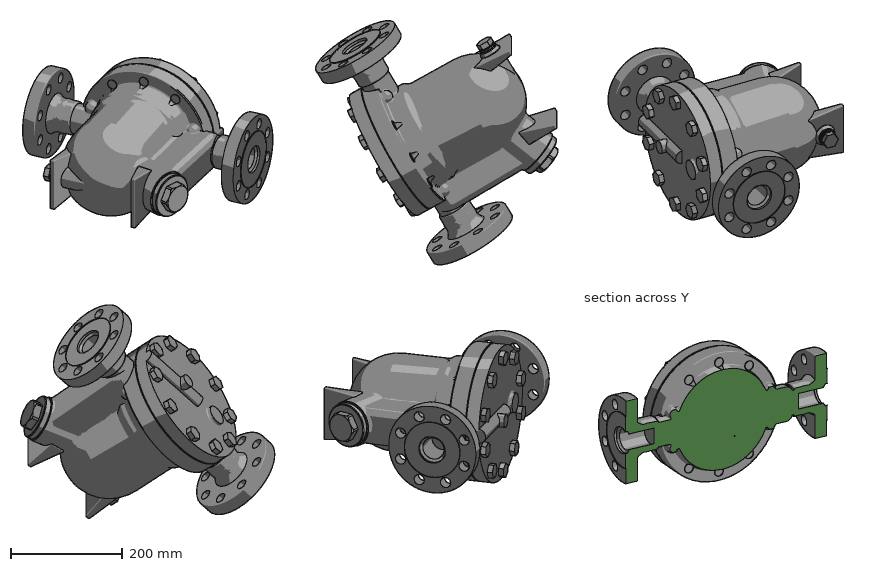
import cadquery as cq
import math


SELECTION_MARGIN = 0.5

INLET_FACE_X = -204.0
OUTLET_FACE_X = 219.0
END_FLANGE_D = 165.0
RAISED_FACE_D = 105.0
RAISED_FACE_H = 1.6
END_FLANGE_T = 26.0
END_FLANGE_EDGE_R = 1.8
END_BOLT_CIRCLE_D = 130.0
END_BOLT_HOLE_D = 19.0
END_BOLT_COUNT = 8
HUB_BASE_R = 37.5
HUB_LENGTH = 12.3
HUB_SAG = 1.0
NECK_D = 62.0
NECK_END = 70.0
WELD_START = 43.0
WELD_END = 53.4
WELD_RISE = 0.8
PIPE_D = 56.0
BORE_D = 40.0
BORE_MOUTH_D = 50.0
BORE_MOUTH_DEPTH = 4.5
BORE_CONE_DEPTH = 8.0
BORE_DEPTH = 60.0

COVER_R = 125.0
COVER_TOP_Y = 57.2
JOINT_Y = 31.3
GASKET_T = 1.2
GASKET_R = 123.0
FLANGE_BOTTOM_Y = -1.0
FLANGE_EDGE_R = 2.0
FLANGE_FLAT_X = 120.5
BOLT_CIRCLE_R = 107.0
BOLT_COUNT = 10
BOLT_HEAD_AF = 24.0
BOLT_HEAD_H = 9.8
BOLT_END_D = 18.0
BOLT_END_RECESS = 1.0
RECESS_REACH = 20.0
BLIND_BOSS_R = 11.5
BLIND_BOSS_TIP_Y = -18.0
BLIND_BOSS_FILLET = 2.0

RIDGE_R = 13.0
RIDGE_START_X = -17.3
VENT_BOSS_X = 32.0
VENT_BOSS_D = 24.0
VENT_BOSS_TOP_Y = 77.8
PAD_BOSS_X = -63.0
PAD_BOSS_D = 36.0
PAD_BOSS_TOP_Y = 64.2
PAD_BOSS_FILLET = 3.5

BOWL_R = 89.0
DOME_CENTER_Y = -135.6
COLLAR_TOP_R = 99.8
COLLAR_R = 95.5
COLLAR_MID_Y = -25.0
COLLAR_LOW_Y = -32.0
COLLAR_LIP_R = 93.5
COLLAR_LIP_Y = -38.0
COLLAR_LIP_SAG = 0.6
COLLAR_BLEND_SAG = 0.8
COLLAR_END_Y = -49.0
COLLAR_FILLET = 4.0

STRAINER_TILT = 20.0
STRAINER_SEAT = (134.5, -182.8)
STRAINER_D = 84.0
STRAINER_DEPTH = 75.0
RIB_STRAINER_FILLET = 6.0
CAP_D = 80.0
CAP_T = 12.5
CAP_EDGE_CHAMFER = 1.5
CAP_GASKET_D = 77.0
CAP_GASKET_T = 1.0
CAP_HEX_AF = 49.5
CAP_HEX_H = 15.0
CAP_HEX_CORNER_D = 55.0

RIB_TOP_R = 34.4
RIB_TOP_CENTER_Y = -7.4
RIB_BOTTOM_HALF_W = 35.0
RIB_BOTTOM_Y = -158.0
RIB_INNER_X = 50.0
RIB_TOP_OUTER_X = 147.0
RIB_BOTTOM_OUTER_X = 142.5
RIB_EDGE_R = 14.0
BOWL_FILLET = 9.0

DRAIN_R = 20.0
DRAIN_Y = DOME_CENTER_Y - BOWL_R + DRAIN_R
DRAIN_FACE_X = -72.0
DRAIN_CONE_X = -78.0
DRAIN_COLLAR_R = 16.0
DRAIN_COLLAR_X = -80.5
DRAIN_WASHER_R = 15.0
DRAIN_WASHER_X = -83.4
DRAIN_HEX_AF = 26.0
DRAIN_HEX_BASE_X = -84.7
DRAIN_NECK_R = 12.0
DRAIN_END_X = -95.2

OVERALL_DEPTH = 326.5
FOOT_BOTTOM_Y = END_FLANGE_D / 2 - OVERALL_DEPTH
FOOT_BOTTOM_HALF_W = 50.0
FOOT_EDGE_R = 2.0
INLET_FOOT_TOP_Y = -165.0
INLET_FOOT_TOP_HALF_W = 39.0
INLET_FOOT_TOP_X = (-72.0, -45.0)
INLET_FOOT_BOTTOM_X = (-70.5, -61.5)
OUTLET_FOOT_TOP_Y = -178.0
OUTLET_FOOT_TOP_DROP = 5.5
OUTLET_FOOT_TOP_HALF_W = 41.0
OUTLET_FOOT_TOP_X = (74.0, 103.7)
OUTLET_FOOT_BOTTOM_X = (91.5, 99.5)


def revolved_about_y(profile):
    return profile.close().revolve(360, (0, 0, 0), (0, 1, 0))


def cylinder_y(radius, y_low, y_high, x=0.0, z=0.0):
    return cq.Workplane("XZ", origin=(x, y_low, z)).circle(radius).extrude(y_low - y_high)


def cylinder_x(radius, x_low, x_high, y=0.0):
    return cq.Workplane("YZ", origin=(x_low, y, 0)).circle(radius).extrude(x_high - x_low)


def hex_corner_d(across_flats):
    return across_flats / math.cos(math.radians(30))


def bolt_angles():
    """Bolt angles about the bowl axis, measured from +Z toward +X."""
    return [i * 360.0 / BOLT_COUNT for i in range(BOLT_COUNT)]


def bolt_position(angle):
    a = math.radians(angle)
    return BOLT_CIRCLE_R * math.sin(a), BOLT_CIRCLE_R * math.cos(a)


def is_beside_pipe(angle):
    return abs(bolt_position(angle)[1]) < BOLT_CIRCLE_R / 2


def make_bowl():
    fillet_start_y = FLANGE_BOTTOM_Y - COLLAR_FILLET
    bend = COLLAR_FILLET * (1 - math.sqrt(0.5))
    profile = (
        cq.Workplane("XY")
        .moveTo(0, JOINT_Y)
        .lineTo(COLLAR_TOP_R + COLLAR_FILLET, JOINT_Y)
        .lineTo(COLLAR_TOP_R + COLLAR_FILLET, FLANGE_BOTTOM_Y)
        .threePointArc(
            (COLLAR_TOP_R + bend, FLANGE_BOTTOM_Y - bend),
            (COLLAR_TOP_R, fillet_start_y),
        )
        .lineTo(COLLAR_R, COLLAR_MID_Y)
        .lineTo(COLLAR_R, COLLAR_LOW_Y)
        .sagittaArc((COLLAR_LIP_R, COLLAR_LIP_Y), COLLAR_LIP_SAG)
        .sagittaArc((BOWL_R, COLLAR_END_Y), -COLLAR_BLEND_SAG)
        .lineTo(BOWL_R, DOME_CENTER_Y)
        .threePointArc(
            (BOWL_R * math.sqrt(0.5), DOME_CENTER_Y - BOWL_R * math.sqrt(0.5)),
            (0, DOME_CENTER_Y - BOWL_R),
        )
    )
    return revolved_about_y(profile)


def make_body_flange():
    disc = cylinder_y(COVER_R, FLANGE_BOTTOM_Y, JOINT_Y).faces("<Y").edges().fillet(FLANGE_EDGE_R)
    side_flats = (
        cq.Workplane("XY")
        .polyline([
            (-COVER_R, JOINT_Y),
            (COVER_R, JOINT_Y),
            (FLANGE_FLAT_X, FLANGE_BOTTOM_Y),
            (-FLANGE_FLAT_X, FLANGE_BOTTOM_Y),
        ])
        .close()
        .extrude(COVER_R, both=True)
    )
    return disc.intersect(side_flats)


def make_cover():
    gasket = cylinder_y(GASKET_R, JOINT_Y, JOINT_Y + GASKET_T)
    cover = cylinder_y(COVER_R, JOINT_Y + GASKET_T, COVER_TOP_Y).union(gasket)
    ridge = cylinder_x(RIDGE_R, RIDGE_START_X, COVER_R, COVER_TOP_Y)
    ridge = ridge.intersect(cylinder_y(COVER_R, COVER_TOP_Y - RIDGE_R, COVER_TOP_Y + RIDGE_R))
    vent_boss = cylinder_y(VENT_BOSS_D / 2, JOINT_Y, VENT_BOSS_TOP_Y, VENT_BOSS_X)
    pad_boss = cylinder_y(PAD_BOSS_D / 2, JOINT_Y, PAD_BOSS_TOP_Y, PAD_BOSS_X)
    pad_center = (PAD_BOSS_X, COVER_TOP_Y, 0)
    pad_base = cq.selectors.NearestToPointSelector(pad_center)
    cover = cover.union(pad_boss).edges(pad_base).fillet(PAD_BOSS_FILLET)
    return cover.union(ridge).union(vent_boss)


def make_bolt_head(angle):
    head = (
        cq.Workplane("XZ", origin=(0, COVER_TOP_Y, 0))
        .center(BOLT_CIRCLE_R, 0)
        .polygon(6, hex_corner_d(BOLT_HEAD_AF))
        .extrude(-BOLT_HEAD_H)
    )
    return head.rotate((0, 0, 0), (0, 1, 0), angle - 90)


def make_blind_boss(angle):
    x, z = bolt_position(angle)
    sphere_y = BLIND_BOSS_TIP_Y + BLIND_BOSS_R
    shank = cylinder_y(BLIND_BOSS_R, sphere_y, FLANGE_BOTTOM_Y + BLIND_BOSS_R, x, z)
    return shank.union(cq.Workplane("XY").sphere(BLIND_BOSS_R).translate((x, sphere_y, z)))


def blend_blind_bosses(body):
    """Round the seams around each blind boss below the flange."""
    reach = 1.5 * BLIND_BOSS_R
    for angle in filter(is_beside_pipe, bolt_angles()):
        x, z = bolt_position(angle)
        seams = cq.selectors.BoxSelector(
            (x - reach, BLIND_BOSS_TIP_Y - BLIND_BOSS_FILLET, z - reach),
            (x + reach, FLANGE_BOTTOM_Y - SELECTION_MARGIN, z + reach),
        )
        body = body.edges(seams).fillet(BLIND_BOSS_FILLET)
    return body


def make_bolt_end_recess(angle):
    x, z = bolt_position(angle)
    top_y = FLANGE_BOTTOM_Y + BOLT_END_RECESS
    return cylinder_y(BOLT_END_D / 2, top_y - RECESS_REACH, top_y, x, z)


def make_pipe_end(length):
    """Flange, hub, neck and pipe along +X with the flange face at X = 0."""
    hub_end_x = END_FLANGE_T + HUB_LENGTH
    hub_mid = (END_FLANGE_T + HUB_LENGTH / 2, (HUB_BASE_R + NECK_D / 2) / 2 - HUB_SAG)
    shoulder_r = (NECK_D - PIPE_D) / 2
    pipe_end = (
        cq.Workplane("XY")
        .lineTo(0, RAISED_FACE_D / 2)
        .lineTo(RAISED_FACE_H, RAISED_FACE_D / 2)
        .lineTo(RAISED_FACE_H, END_FLANGE_D / 2)
        .lineTo(END_FLANGE_T - END_FLANGE_EDGE_R, END_FLANGE_D / 2)
        .radiusArc((END_FLANGE_T, END_FLANGE_D / 2 - END_FLANGE_EDGE_R), END_FLANGE_EDGE_R)
        .lineTo(END_FLANGE_T, HUB_BASE_R)
        .threePointArc(hub_mid, (hub_end_x, NECK_D / 2))
        .lineTo(WELD_START, NECK_D / 2)
        .sagittaArc((WELD_END, NECK_D / 2), WELD_RISE)
        .lineTo(NECK_END - shoulder_r, NECK_D / 2)
        .radiusArc((NECK_END, PIPE_D / 2), shoulder_r)
        .lineTo(length, PIPE_D / 2)
        .lineTo(length, 0)
        .close()
        .revolve(360, (0, 0, 0), (1, 0, 0))
    )
    holes = (
        cq.Workplane("YZ")
        .polarArray(END_BOLT_CIRCLE_D / 2, 180.0 / END_BOLT_COUNT, 360, END_BOLT_COUNT)
        .circle(END_BOLT_HOLE_D / 2)
        .extrude(END_FLANGE_T)
    )
    return pipe_end.cut(holes)


def make_bore():
    """Blind bore with a tapered mouth, starting at X = 0 and running along +X."""
    return (
        cq.Workplane("XY")
        .lineTo(0, BORE_MOUTH_D / 2)
        .lineTo(BORE_MOUTH_DEPTH, BORE_MOUTH_D / 2)
        .lineTo(BORE_CONE_DEPTH, BORE_D / 2)
        .lineTo(BORE_DEPTH, BORE_D / 2)
        .lineTo(BORE_DEPTH, 0)
        .close()
        .revolve(360, (0, 0, 0), (1, 0, 0))
    )


def at_inlet(shape):
    return shape.translate((INLET_FACE_X, 0, 0))


def at_outlet(shape):
    return shape.mirror("YZ").translate((OUTLET_FACE_X, 0, 0))


def along_strainer(shape):
    """Place a shape built along +X at the origin onto the strainer axis and seat."""
    tilted = shape.rotate((0, 0, 0), (0, 0, 1), -STRAINER_TILT)
    return tilted.translate((STRAINER_SEAT[0], STRAINER_SEAT[1], 0))


def make_strainer_branch():
    return along_strainer(cylinder_x(STRAINER_D / 2, -STRAINER_DEPTH, 0))


def make_strainer_cap():
    hex_head = (
        cq.Workplane("YZ", origin=(CAP_T, 0, 0))
        .polygon(6, hex_corner_d(CAP_HEX_AF))
        .extrude(CAP_HEX_H)
    )
    corner_round = cylinder_x(CAP_HEX_CORNER_D / 2, CAP_T, CAP_T + CAP_HEX_H)
    corner_round = corner_round.faces(">X").chamfer((CAP_HEX_CORNER_D - CAP_HEX_AF) / 2)
    gasket = cylinder_x(CAP_GASKET_D / 2, 0, CAP_GASKET_T)
    disc = cylinder_x(CAP_D / 2, CAP_GASKET_T, CAP_T).faces(">X").chamfer(CAP_EDGE_CHAMFER)
    return along_strainer(disc.union(gasket).union(hex_head.intersect(corner_round)))


def make_rib():
    top_y = RIB_TOP_CENTER_Y + RIB_TOP_R
    section = (
        cq.Workplane("YZ", origin=(RIB_INNER_X, 0, 0))
        .moveTo(RIB_BOTTOM_Y, -RIB_BOTTOM_HALF_W)
        .lineTo(RIB_TOP_CENTER_Y, -RIB_TOP_R)
        .threePointArc((top_y, 0), (RIB_TOP_CENTER_Y, RIB_TOP_R))
        .lineTo(RIB_BOTTOM_Y, RIB_BOTTOM_HALF_W)
        .close()
        .extrude(RIB_TOP_OUTER_X)
    )
    slope = (RIB_TOP_OUTER_X - RIB_BOTTOM_OUTER_X) / -RIB_BOTTOM_Y
    side_outline = (
        cq.Workplane("XY")
        .polyline([
            (RIB_INNER_X, top_y),
            (RIB_TOP_OUTER_X + slope * top_y, top_y),
            (RIB_BOTTOM_OUTER_X, RIB_BOTTOM_Y),
            (RIB_INNER_X, RIB_BOTTOM_Y),
        ])
        .close()
        .extrude(RIB_BOTTOM_HALF_W, both=True)
    )
    rib = section.intersect(side_outline)
    return rib.faces(">X").edges("not(<Y)").fillet(RIB_EDGE_R)


def edges_within(x_range, y_range):
    """Selector for edges centred in the given X and Y ranges, at any Z on the branches."""
    low = (x_range[0], y_range[0], -STRAINER_D)
    high = (x_range[1], y_range[1], STRAINER_D)
    return cq.selectors.BoxSelector(low, high)


def make_blended_bowl():
    """Bowl with rib and strainer branch, rounded where they meet."""
    branch = make_rib().union(make_strainer_branch())
    seams_on_strainer = edges_within((BOWL_R, RIB_TOP_OUTER_X), (RIB_BOTTOM_Y, DOME_CENTER_Y))
    branch = branch.edges(seams_on_strainer).fillet(RIB_STRAINER_FILLET)
    seam_x_range = (BOWL_R - 2 * BOWL_FILLET, BOWL_R)
    seam_y_range = (DOME_CENTER_Y + BOWL_FILLET, COLLAR_END_Y - BOWL_FILLET)
    straight_seams = edges_within(seam_x_range, seam_y_range)
    return make_bowl().union(branch).edges(straight_seams).fillet(BOWL_FILLET)


def make_drain():
    boss_and_washer = (
        cq.Workplane("XY", origin=(0, DRAIN_Y, 0))
        .lineTo(0, DRAIN_R)
        .lineTo(DRAIN_FACE_X, DRAIN_R)
        .lineTo(DRAIN_CONE_X, DRAIN_COLLAR_R)
        .lineTo(DRAIN_COLLAR_X, DRAIN_COLLAR_R)
        .lineTo(DRAIN_COLLAR_X, DRAIN_WASHER_R)
        .lineTo(DRAIN_WASHER_X, DRAIN_WASHER_R)
        .lineTo(DRAIN_WASHER_X, DRAIN_NECK_R)
        .lineTo(DRAIN_HEX_BASE_X, DRAIN_NECK_R)
        .lineTo(DRAIN_HEX_BASE_X, 0)
        .close()
        .revolve(360, (0, 0, 0), (1, 0, 0))
    )
    hex_head = (
        cq.Workplane("YZ", origin=(DRAIN_END_X, DRAIN_Y, 0))
        .polygon(6, hex_corner_d(DRAIN_HEX_AF))
        .extrude(DRAIN_HEX_BASE_X - DRAIN_END_X)
    )
    return boss_and_washer.union(hex_head)


def make_foot(top_x, bottom_x, top_y, top_half_width, top_drop=0.0):
    """Plate that thins in X and widens in Z toward the bottom."""
    blank = (
        cq.Workplane("XY")
        .polyline([
            (top_x[0], top_y),
            (top_x[1], top_y - top_drop),
            (bottom_x[1], FOOT_BOTTOM_Y),
            (bottom_x[0], FOOT_BOTTOM_Y),
        ])
        .close()
        .extrude(FOOT_BOTTOM_HALF_W, both=True)
    )
    width_taper = (
        cq.Workplane("YZ")
        .polyline([
            (top_y, -top_half_width),
            (FOOT_BOTTOM_Y, -FOOT_BOTTOM_HALF_W),
            (FOOT_BOTTOM_Y, FOOT_BOTTOM_HALF_W),
            (top_y, top_half_width),
        ])
        .close()
        .extrude(COVER_R, both=True)
    )
    return blank.intersect(width_taper).edges().fillet(FOOT_EDGE_R)


def make_feet():
    inlet_foot = make_foot(
        INLET_FOOT_TOP_X, INLET_FOOT_BOTTOM_X, INLET_FOOT_TOP_Y, INLET_FOOT_TOP_HALF_W
    )
    outlet_foot = make_foot(
        OUTLET_FOOT_TOP_X,
        OUTLET_FOOT_BOTTOM_X,
        OUTLET_FOOT_TOP_Y,
        OUTLET_FOOT_TOP_HALF_W,
        OUTLET_FOOT_TOP_DROP,
    )
    return inlet_foot.union(outlet_foot)


result = make_blended_bowl().union(make_body_flange()).union(make_cover())
result = result.union(at_inlet(make_pipe_end(-INLET_FACE_X)))
result = result.union(at_outlet(make_pipe_end(OUTLET_FACE_X)))
for bolt_angle in bolt_angles():
    if is_beside_pipe(bolt_angle):
        result = result.union(make_blind_boss(bolt_angle))
    else:
        result = result.cut(make_bolt_end_recess(bolt_angle))
result = blend_blind_bosses(result)
for bolt_angle in bolt_angles():
    result = result.union(make_bolt_head(bolt_angle))
result = result.union(make_drain()).union(make_strainer_cap())
result = result.union(make_feet())
result = result.cut(at_inlet(make_bore())).cut(at_outlet(make_bore()))